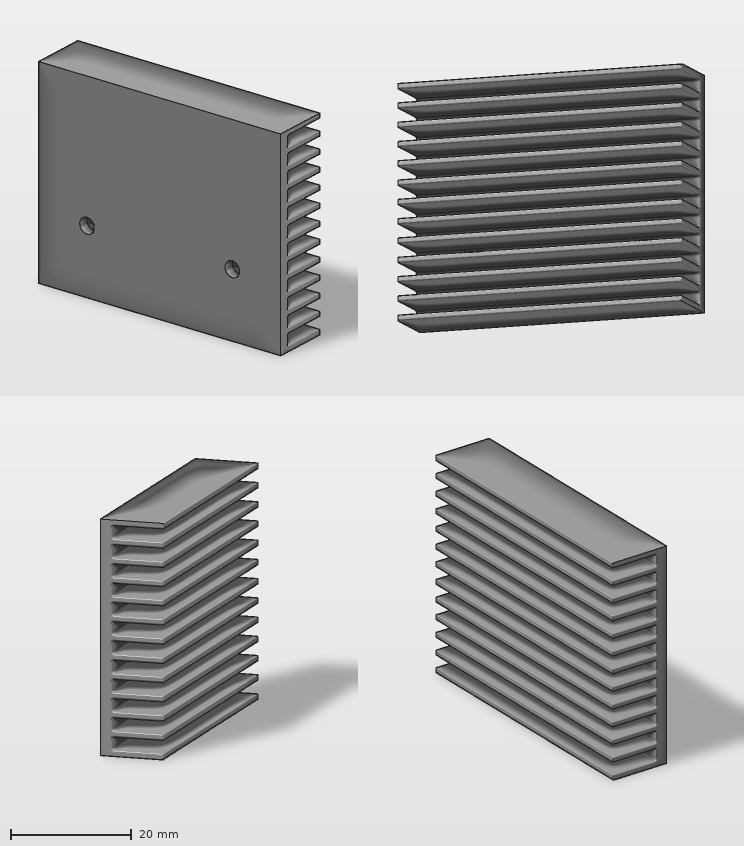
import cadquery as cq

length = 50.0
depth = 11.0
height = 40.0

base_thickness = 2.0
fin_count = 13
fin_thickness = 1.0
root_radius = 0.4
edge_radius = 0.25

hole_diameter = 3.0
hole_spacing = 30.0
hole_height = 13.0

fin_pitch = (height - fin_thickness) / (fin_count - 1)
gap_height = fin_pitch - fin_thickness
gap_depth = depth - base_thickness
gap_count = fin_count - 1


def make_gap(bottom):
    """Full-length gap between two fins, rounded where the fins meet the base."""
    return (
        cq.Workplane("XY")
        .box(length, gap_depth, gap_height, centered=(True, False, False))
        .edges("|X and <Y")
        .fillet(root_radius)
        .translate((0, base_thickness, bottom))
    )


def make_hole(x):
    """Round mounting hole that passes through the base plate only."""
    return (
        cq.Workplane("XZ", origin=(x, 0, hole_height))
        .circle(hole_diameter / 2)
        .extrude(-base_thickness)
    )


def cut_gaps(block):
    for index in range(gap_count):
        block = block.cut(make_gap(fin_thickness + index * fin_pitch))
    return block


def round_fins(block):
    """Round the fin tips along their length and the fin and gap edges at both ends.

    The edges of the outer top, bottom and base faces at the two ends stay sharp.
    """
    tip_edges = block.faces(">Y").edges("|X")
    outer_edges = block.faces("<Y or <Z or >Z").edges()
    end_edges = block.faces("<X or >X").edges()
    kept_sharp = set(outer_edges.vals())
    rounded = [edge for edge in end_edges.vals() if edge not in kept_sharp]
    return block.newObject(tip_edges.vals() + rounded).fillet(edge_radius)


def drill_holes(block):
    for side in (-1, 1):
        block = block.cut(make_hole(side * hole_spacing / 2))
    return block


base_block = cq.Workplane("XY").box(length, depth, height, centered=(True, False, False))
result = drill_holes(round_fins(cut_gaps(base_block)))